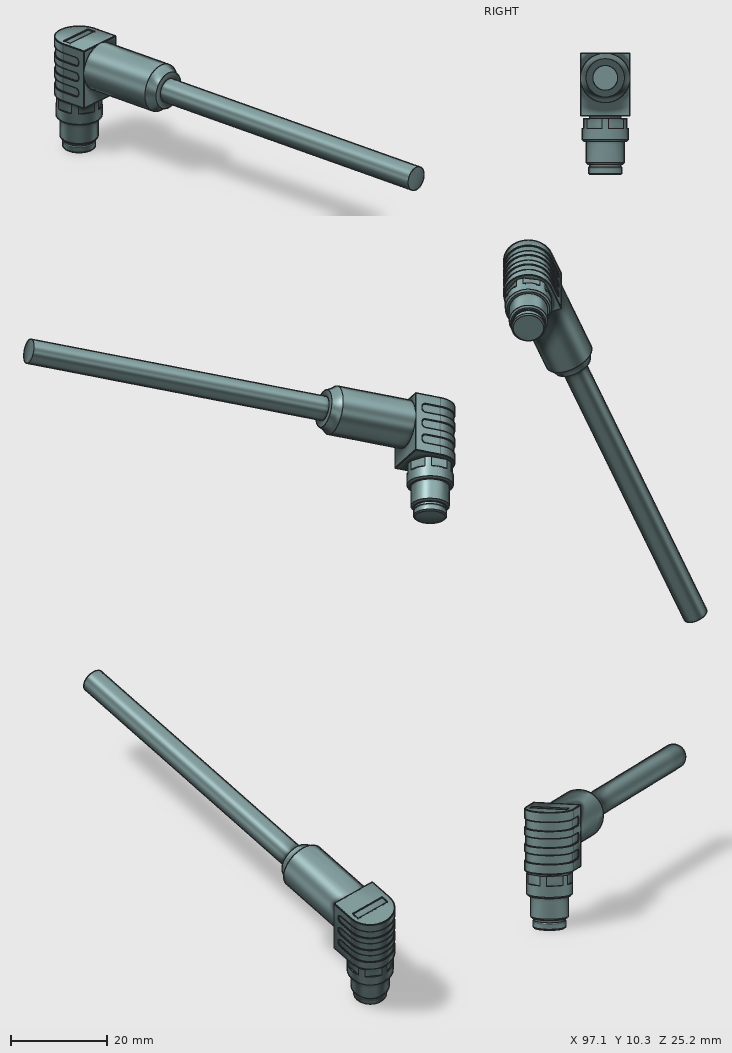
import cadquery as cq
import math


head_width = 10.3
head_radius = head_width / 2
head_length = 10.9
head_height = 13.1
head_chamfer = 0.14
head_end_x = head_length - head_radius

groove_count = 3
groove_pitch = 3.5
groove_height = 2.0
first_groove_top = 2.0
groove_end_x = 4.3
groove_inset = 0.2
groove_flare = 0.15
groove_clearance = 1.0
groove_corner = 0.9

recess_length = 7.9
recess_width = 1.8
recess_depth = 0.3

total_length = 97.05
cable_diameter = 5.1
sleeve_diameter = head_width
sleeve_axis_z = -sleeve_diameter / 2
sleeve_overlap = 1.0
sleeve_start_x = head_end_x - sleeve_overlap
sleeve_straight_end_x = 22.3
sleeve_end_x = 24.4
sleeve_tip_diameter = 8.0
sleeve_taper_sag = 0.15

total_height = 25.2
neck_diameter = 6.5
nut_top = 13.6
nut_flat_bottom = 15.6
nut_bottom = 18.3
nut_diameter = 9.6
nut_across_flats = 8.9
nut_chamfer = 0.4
barrel_diameter = 8.0
barrel_bottom = 23.1
barrel_chamfer = 0.4
lip_top = 23.6
lip_diameter = 6.9
lip_chamfer = 0.3
lip_fillet = 0.3


def plug_cylinder(diameter, top, bottom):
    """Cylinder on the plug axis between two depths below the head top."""
    return cq.Workplane("XY").workplane(offset=-bottom).circle(diameter / 2).extrude(bottom - top)


def head_prism(radius, end_x, height):
    """Prism with a half-round -X end and a flat +X end, standing on Z = 0."""
    return (
        cq.Workplane("XY")
        .moveTo(end_x, -radius)
        .lineTo(0, -radius)
        .threePointArc((-radius, 0), (0, radius))
        .lineTo(end_x, radius)
        .close()
        .extrude(height)
    )


def make_groove_cutter():
    """U-shaped band around the head, centred on Z = 0, with flared walls."""
    reach = head_radius + groove_clearance
    band_length = reach + groove_end_x
    band = (
        cq.Workplane("XY")
        .box(band_length, 2 * reach, groove_height)
        .edges("|Y and >X")
        .fillet(groove_corner)
        .translate((groove_end_x - band_length / 2, 0, 0))
    )
    floor_radius = head_radius - groove_inset
    core = head_prism(floor_radius, head_end_x, groove_height).translate((0, 0, -groove_height / 2))
    floor_edges = band.cut(core).edges().filter(
        lambda edge: edge.BoundingBox().ymax < head_radius and edge.BoundingBox().ymin > -head_radius
    )
    return floor_edges.chamfer(groove_flare)


def make_head():
    """Head with chamfered ends, three grip grooves and a marking recess in its top."""
    head = (
        head_prism(head_radius, head_end_x, head_height)
        .translate((0, 0, -head_height))
        .faces("<Z or >Z or >X")
        .edges()
        .chamfer(head_chamfer)
    )
    cutter = make_groove_cutter()
    for index in range(groove_count):
        depth = first_groove_top + groove_height / 2 + index * groove_pitch
        head = head.cut(cutter.translate((0, 0, -depth)))
    recess = cq.Workplane("XY").box(recess_width, recess_length, 2 * recess_depth)
    return head.cut(recess)


def make_sleeve_and_cable():
    """Revolved sleeve with a slightly hollow tapered end, and the cable running out of it."""
    taper_middle = (
        (sleeve_straight_end_x + sleeve_end_x) / 2,
        (sleeve_diameter + sleeve_tip_diameter) / 4 - sleeve_taper_sag,
    )
    cable_end_x = total_length - head_radius
    profile = (
        cq.Workplane("XZ")
        .moveTo(sleeve_start_x, 0)
        .lineTo(sleeve_start_x, sleeve_diameter / 2)
        .lineTo(sleeve_straight_end_x, sleeve_diameter / 2)
        .threePointArc(taper_middle, (sleeve_end_x, sleeve_tip_diameter / 2))
        .lineTo(sleeve_end_x, cable_diameter / 2)
        .lineTo(cable_end_x, cable_diameter / 2)
        .lineTo(cable_end_x, 0)
        .close()
    )
    return profile.revolve(360, (0, 0, 0), (1, 0, 0)).translate((0, 0, sleeve_axis_z))


def make_nut():
    """Round nut with six spanner flats on its upper part."""
    nut = plug_cylinder(nut_diameter, nut_top, nut_bottom).faces("<Z").chamfer(nut_chamfer)
    flat_height = nut_flat_bottom - nut_top
    across_corners = nut_across_flats / math.cos(math.pi / 6)
    ring = plug_cylinder(across_corners, nut_top, nut_flat_bottom)
    hexagon = (
        cq.Workplane("XY")
        .workplane(offset=-nut_flat_bottom)
        .polygon(6, across_corners)
        .extrude(flat_height)
    )
    return nut.cut(ring.cut(hexagon))


def make_plug():
    """Neck core from inside the head to the lip, carrying the nut, the barrel and the lip."""
    neck = plug_cylinder(neck_diameter, head_height / 2, total_height - lip_chamfer)
    barrel = plug_cylinder(barrel_diameter, nut_bottom, barrel_bottom).faces("<Z").chamfer(barrel_chamfer)
    lip = (
        plug_cylinder(lip_diameter, lip_top, total_height)
        .faces("<Z")
        .chamfer(lip_chamfer)
        .faces(">Z")
        .edges()
        .fillet(lip_fillet)
    )
    return neck.union(make_nut()).union(barrel).union(lip)


result = make_head().union(make_sleeve_and_cable()).union(make_plug())